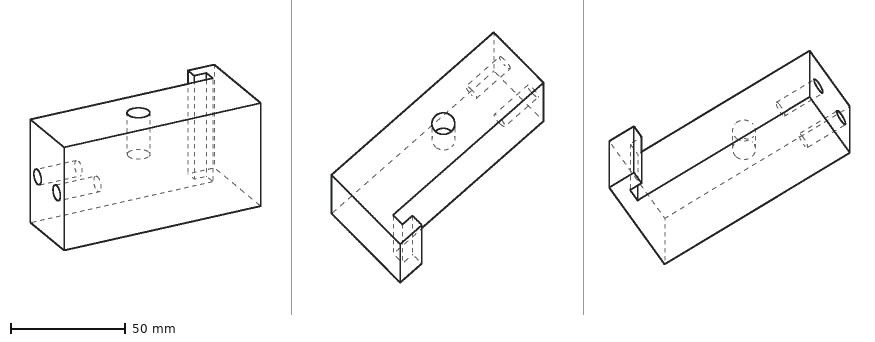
import cadquery as cq

length = 97.0
height = 50.0
overall_width = 44.0
body_width = 32.0

lip_thickness = 6.0
arm_thickness = 7.0
lip_reach = 13.0

top_hole_diameter = 10.0
top_hole_depth = 20.0
top_hole_from_front = 45.0

front_hole_diameter = 7.0
front_hole_depth = 20.0
front_hole_spacing = 18.0

body_left = overall_width - body_width
body_center = body_left + body_width / 2


def hooked_block():
    """Body with a full-height hook, extruded from its plan outline."""
    outline = [
        (overall_width, 0),
        (overall_width, length),
        (0, length),
        (0, length - lip_reach),
        (lip_thickness, length - lip_reach),
        (lip_thickness, length - arm_thickness),
        (body_left, length - arm_thickness),
        (body_left, 0),
    ]
    return cq.Workplane("XY").polyline(outline).close().extrude(height)


def top_hole():
    """Cylinder running down from the top face."""
    return (
        cq.Workplane("XY", origin=(body_center, top_hole_from_front, height))
        .circle(top_hole_diameter / 2)
        .extrude(-top_hole_depth)
    )


def front_holes():
    """Two cylinders running inward from the front face at mid height."""
    return (
        cq.Workplane("XZ", origin=(body_center, 0, height / 2))
        .rarray(front_hole_spacing, 1, 2, 1)
        .circle(front_hole_diameter / 2)
        .extrude(-front_hole_depth)
    )


result = hooked_block().cut(top_hole()).cut(front_holes())